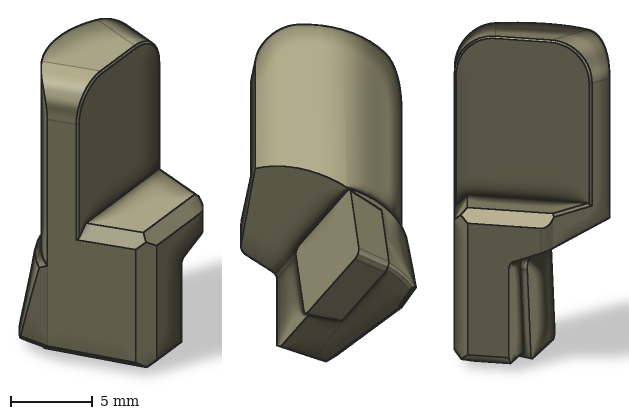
import cadquery as cq
import math

height = 20.0
half_width = 4.98
margin = 20.0

shank_radius = 6.05
side_slope = 0.32
shank_back = -1.55
shank_edge_break = 0.12
crown_radius = 2.5

block_end = 2.75
ledge_height = 10.0
ledge_chamfer = 0.8
ledge_far_chamfer = 0.18
corner_chamfer = 0.78
corner_half_width = 2.15
far_corner_radius = 0.6
bottom_chamfer = 0.45

nose_top = 7.0
flare = 0.35
cone_angle = 10.0
nose_fillet = 0.32

bottom_height = 0.52
bottom_rise_start = -1.9
bottom_rise_angle = 5.0

rake_angle = 5.0
insert_corner = -7.8
insert_width = 6.52
insert_height = 6.4
insert_thickness = 2.35
insert_relief = 7.5
insert_corner_radius = 0.48
rake_offset = 0.72
gullet_offset = 0.25
gullet_corner_height = 6.88
gullet_slope = 20.5
gullet_radius = 0.5

tip_x = -math.sqrt(shank_radius**2 - half_width**2)
cone_lean = math.tan(math.radians(cone_angle))


def side_at(x):
    """Half width between the converging side faces at a given X."""
    return half_width - side_slope * (x - tip_x)


def cut_beyond(body, point, normal):
    """Remove everything on the side of a plane that its normal points to."""
    plane = cq.Plane(origin=point, normal=normal)
    return body.cut(cq.Workplane(plane).rect(2 * margin, 2 * margin).extrude(2 * margin))


def slope_underside(body):
    """Trim the underside along the flat and the plane that rises toward -Y."""
    angle = math.radians(bottom_rise_angle)
    start = (0, bottom_rise_start, bottom_height)
    body = cut_beyond(body, start, (0, 0, -1))
    return cut_beyond(body, start, (0, -math.sin(angle), -math.cos(angle)))


def side_normal(side):
    """Outward direction of the converging side face at +Y (1) or -Y (-1)."""
    return cq.Vector(side_slope, side, 0).normalized()


def chamfer_underside(body, outward):
    """Break the bottom edge below a -Y side face that passes through the tip of the slice."""
    angle = math.radians(bottom_rise_angle)
    rise = math.tan(angle) * (half_width + bottom_rise_start)
    point = (tip_x, -half_width, bottom_height + rise + bottom_chamfer)
    bottom_normal = cq.Vector(0, -math.sin(angle), -math.cos(angle))
    return cut_beyond(body, point, outward + bottom_normal)


def make_shank():
    back_half = side_at(shank_back)
    shank = (
        cq.Workplane("XY")
        .moveTo(tip_x, -half_width)
        .lineTo(shank_back, -back_half)
        .lineTo(shank_back, back_half)
        .lineTo(tip_x, half_width)
        .threePointArc((-shank_radius, 0), (tip_x, -half_width))
        .close()
        .extrude(height)
    )
    middle_x = (tip_x + shank_back) / 2
    for side in (-1, 1):
        crown_edge = cq.selectors.NearestToPointSelector((middle_x, side * side_at(middle_x), height))
        shank = shank.edges(crown_edge).fillet(crown_radius)
    shank = shank.faces(">X").edges("not <Z").chamfer(shank_edge_break)
    return chamfer_underside(slope_underside(shank), side_normal(-1))


def make_block():
    chamfer_start = block_end - corner_chamfer
    block = (
        cq.Workplane("XY")
        .polyline([
            (tip_x, -half_width),
            (chamfer_start, -side_at(chamfer_start)),
            (block_end, -corner_half_width),
            (block_end, side_at(block_end)),
            (tip_x, half_width),
        ])
        .close()
        .extrude(ledge_height)
    )
    block = block.edges("|Z").edges(">X").edges(">Y").fillet(far_corner_radius)
    trim = cq.Workplane("XY").box(margin, margin, margin, centered=(False, True, False))
    block = block.intersect(trim.translate((shank_back - shank_edge_break, 0, 0)))

    for side, size in ((-1, ledge_chamfer), (1, ledge_far_chamfer)):
        normal = side_normal(side)
        block = cut_beyond(block, (tip_x, side * half_width, ledge_height - size), normal + cq.Vector(0, 0, 1))
    block = cut_beyond(block, (block_end, 0, ledge_height - ledge_chamfer), (1, 0, 1))
    block = chamfer_underside(slope_underside(block), side_normal(-1))
    return cut_beyond(block, (block_end, 0, bottom_height + bottom_chamfer), (1, 0, -1))


def make_nose():
    cone_top = nose_top - flare
    cone_radius = shank_radius + flare
    nose = (
        cq.Workplane("XZ")
        .polyline([
            (0, 0),
            (cone_radius + cone_top * cone_lean, 0),
            (cone_radius, cone_top),
            (shank_radius, nose_top),
            (0, nose_top),
        ])
        .close()
        .revolve(360, (0, 0), (0, 1))
    )
    footprint = cq.Workplane("XY").rect(margin, 2 * half_width).extrude(nose_top)
    nose = nose.intersect(footprint.translate((tip_x - margin / 2, 0, 0)))
    nose = slope_underside(nose)
    bottom_edge_point = (-shank_radius - flare, -half_width / 2, bottom_height)
    nose = nose.edges(cq.selectors.NearestToPointSelector(bottom_edge_point)).fillet(nose_fillet)
    return chamfer_underside(nose, cq.Vector(0, -1, 0))


def make_gullet():
    ramp_rise = margin * math.tan(math.radians(gullet_slope))
    gullet = (
        cq.Workplane("YZ")
        .polyline([
            (gullet_offset, -margin),
            (gullet_offset, gullet_corner_height),
            (gullet_offset + margin, gullet_corner_height + ramp_rise),
            (gullet_offset + margin, -margin),
        ])
        .close()
        .extrude(margin, both=True)
    )
    corner = cq.selectors.NearestToPointSelector((0, gullet_offset, gullet_corner_height))
    return gullet.edges(corner).fillet(gullet_radius).rotate((0, 0, 0), (0, 0, 1), rake_angle)


def make_insert():
    """Parallelogram plate whose flanks all lean in below the rake face."""
    lean = insert_height * cone_lean
    right = insert_corner + insert_width
    plate = (
        cq.Workplane("XZ", origin=(0, rake_offset, 0))
        .polyline([
            (insert_corner, 0),
            (right, 0),
            (right + lean, insert_height),
            (insert_corner + lean, insert_height),
        ])
        .close()
        .extrude(insert_thickness, taper=insert_relief)
    )
    plate = plate.edges("not #Y").fillet(insert_corner_radius)
    return plate.rotate((0, 0, 0), (0, 0, 1), rake_angle)


def make_holder(insert):
    holder = make_shank().union(make_block()).union(make_nose())
    return holder.cut(make_gullet()).cut(insert)


insert = make_insert()
holder = make_holder(insert)
result = cq.Compound.makeCompound([holder.val(), insert.val()])